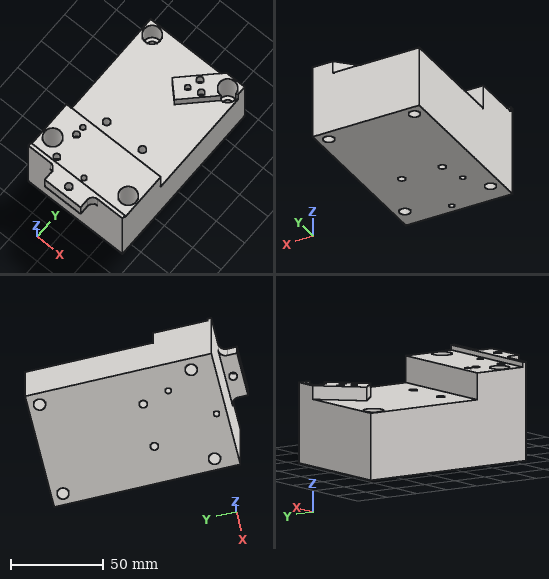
import cadquery as cq
import math

total_length = 113.8
total_height = 54.6
block_width = 66.5
tab_reach = 9.6
block_length = total_length - tab_reach
deck_height = 37.1

pad_length = 32.7
pad_height = 51.9
lip_length = 2.2

tab_width = 25.3
tab_thickness = 10.1
tab_root_radius = 4.0
tab_center_x = -1.0
tab_hole_y = -4.3

bar_width = 12.9
bar_height = 7.5
bar_angle = 45.0
bar_end_x = 4.0
bar_end_y = 78.6
bar_rough_length = block_width

bolt_diameter = 6.5
bolt_head_diameter = 11.0
bolt_inset = 6.6
bolt_front_y = 12.9
bolt_seat_height = deck_height / 2

clearance_diameter = 4.3
narrow_diameter = 3.2
dowel_diameter = 4.0
bar_pilot_diameter = 3.3
blind_depth_ratio = 2.0
drill_tip_angle = 118.0

deck_hole_spacing = tab_width
deck_hole_center_x = -0.8
deck_hole_y = 42.9

pad_hole_x = -17.8
pad_front_row_y = 5.6
pad_dowel_back_y = 22.4
pad_narrow_back_y = 27.9
pad_narrow_front_x = 1.5

bar_pilot_along = 7.9
bar_dowel_along = 14.9
bar_dowel_spacing = 7.4


def box(x_min, x_max, y_min, y_max, z_min, z_max):
    """Axis-aligned box given by its limits."""
    size = (x_max - x_min, y_max - y_min, z_max - z_min)
    return cq.Workplane("XY").box(*size, centered=False).translate((x_min, y_min, z_min))


def cylinder(x, y, z_min, z_max, diameter):
    """Vertical cylinder standing on z_min."""
    return cq.Workplane("XY", origin=(x, y, z_min)).circle(diameter / 2).extrude(z_max - z_min)


def through_hole(x, y, diameter):
    """Cutter for a plain vertical hole through the whole part."""
    return cylinder(x, y, 0, total_height, diameter)


def blind_hole(x, y, top, diameter):
    """Cutter for a drilled hole with a conical bottom."""
    radius = diameter / 2
    shoulder = top - blind_depth_ratio * diameter
    tip = shoulder - radius / math.tan(math.radians(drill_tip_angle / 2))
    profile = [(0, top), (radius, top), (radius, shoulder), (0, tip)]
    cutter = cq.Workplane("XZ").polyline(profile).close().revolve(360, (0, 0, 0), (0, 1, 0))
    return cutter.translate((x, y, 0))


def make_body():
    """Stepped block: low deck, raised pad and lip, as one side profile."""
    profile = [
        (0, 0),
        (block_length, 0),
        (block_length, deck_height),
        (pad_length, deck_height),
        (pad_length, pad_height),
        (lip_length, pad_height),
        (lip_length, total_height),
        (0, total_height),
    ]
    return cq.Workplane("YZ").polyline(profile).close().extrude(block_width / 2, both=True)


def make_tab():
    """Front tab whose root flares into the block with two concave fillets."""
    half = tab_width / 2
    root = half + tab_root_radius
    outline = (
        cq.Workplane("XY", origin=(tab_center_x, 0, total_height - tab_thickness))
        .moveTo(-root, 0)
        .radiusArc((-half, -tab_root_radius), tab_root_radius)
        .lineTo(-half, -tab_reach)
        .lineTo(half, -tab_reach)
        .lineTo(half, -tab_root_radius)
        .radiusArc((root, 0), tab_root_radius)
        .lineTo(root, lip_length)
        .lineTo(-root, lip_length)
        .close()
    )
    return outline.extrude(tab_thickness)


def make_bar():
    """Diagonal bar, trimmed flush with the block's back and right faces."""
    bar = box(0, bar_rough_length, -bar_width / 2, bar_width / 2, deck_height, deck_height + bar_height)
    bar = bar.rotate((0, 0, 0), (0, 0, 1), bar_angle).translate((bar_end_x, bar_end_y, 0))
    envelope = box(-block_width / 2, block_width / 2, 0, block_length, 0, total_height)
    return bar.intersect(envelope)


def bar_point(along, across):
    """X and Y of a point measured along and across the bar."""
    cosine = math.cos(math.radians(bar_angle))
    sine = math.sin(math.radians(bar_angle))
    x = bar_end_x + along * cosine - across * sine
    y = bar_end_y + along * sine + across * cosine
    return x, y


result = make_body().union(make_tab()).union(make_bar())

bolt_x = block_width / 2 - bolt_inset
for x in (-bolt_x, bolt_x):
    for y in (bolt_front_y, block_length - bolt_inset):
        result = result.cut(through_hole(x, y, bolt_diameter))
        result = result.cut(cylinder(x, y, bolt_seat_height, total_height, bolt_head_diameter))

result = result.cut(through_hole(tab_center_x, tab_hole_y, clearance_diameter))
for side in (-1, 1):
    x = deck_hole_center_x + side * deck_hole_spacing / 2
    result = result.cut(through_hole(x, deck_hole_y, clearance_diameter))

for x, y in ((pad_hole_x, pad_narrow_back_y), (pad_narrow_front_x, pad_front_row_y)):
    result = result.cut(through_hole(x, y, narrow_diameter))
for y in (pad_front_row_y, pad_dowel_back_y):
    result = result.cut(blind_hole(pad_hole_x, y, pad_height, dowel_diameter))

bar_top = deck_height + bar_height
result = result.cut(blind_hole(*bar_point(bar_pilot_along, 0), bar_top, bar_pilot_diameter))
for side in (-1, 1):
    x, y = bar_point(bar_dowel_along, side * bar_dowel_spacing / 2)
    result = result.cut(blind_hole(x, y, bar_top, dowel_diameter))